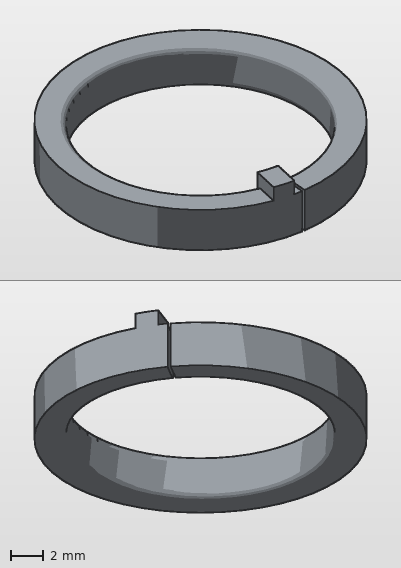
import cadquery as cq
import math

outer_radius = 10.35
inner_radius = 8.35
ring_height = 3.0
bore_fillet = 0.5

gap_width = 0.2

lug_height = 1.0
lug_width = 1.5
lug_angle = -8.0


def annulus(height):
    """Plain ring of rectangular section standing on the XY plane."""
    return cq.Workplane("XY").circle(outer_radius).circle(inner_radius).extrude(height)


def rounded_ring():
    """Ring with both bore edges rounded."""
    return annulus(ring_height).edges(cq.selectors.RadiusNthSelector(0)).fillet(bore_fillet)


def sharp_bore_annulus(top):
    """Ring of sharp section from the top of the lower bore fillet up to the given height."""
    return annulus(top - bore_fillet).translate((0, 0, bore_fillet))


def lug():
    """Lug with the ring's curved inner and outer faces, filling the upper fillet below it."""
    top = ring_height + lug_height
    bar = cq.Workplane("XY").box(2 * outer_radius, lug_width, top, centered=(False, True, False))
    bar = bar.rotate((0, 0, 0), (0, 0, 1), lug_angle)
    return sharp_bore_annulus(top).intersect(bar)


def square_end():
    """Ring end between lug and gap, where the upper bore edge stays sharp."""
    reach = 2 * outer_radius
    angle = math.radians(lug_angle)
    tip = (reach * math.cos(angle), reach * math.sin(angle))
    wedge = cq.Workplane("XY").polyline([(0, 0), (reach, 0), tip]).close().extrude(ring_height)
    return sharp_bore_annulus(ring_height).intersect(wedge)


def gap():
    """Cutter for the gap, through the +X side of the ring."""
    return cq.Workplane("XY").box(2 * outer_radius, gap_width, ring_height, centered=(False, True, False))


result = rounded_ring().union(square_end()).union(lug()).cut(gap())